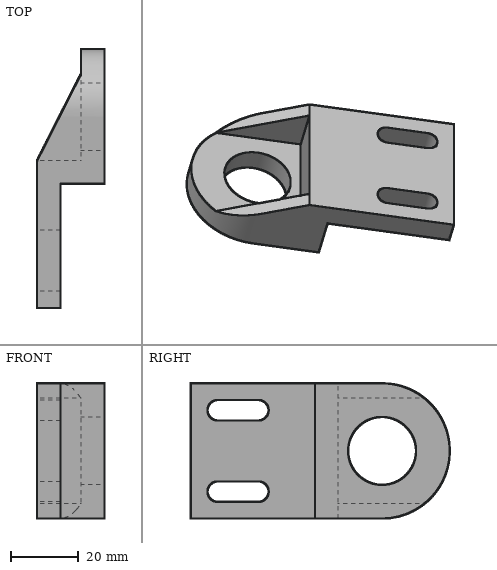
import cadquery as cq

length = 76.5
depth = 20.0
height = 40.0
plate_thickness = 6.95

eye_radius = height / 2
eye_y = length - eye_radius
eye_hole_diameter = 20.0

block_start_y = 36.65
slope_start_y = 43.5
slope_end_y = 69.15
eye_face_x = depth - plate_thickness

pocket_height = 31.1

slot_length = 18.0
slot_width = 6.0
slot_y = 14.0
slot_spacing = 24.0


def offset_body():
    """Stepped plate with a slope leading to the thin eye, extruded along Z."""
    profile = [
        (0, 0),
        (plate_thickness, 0),
        (plate_thickness, block_start_y),
        (depth, block_start_y),
        (depth, length),
        (eye_face_x, length),
        (eye_face_x, slope_end_y),
        (0, slope_start_y),
    ]
    return cq.Workplane("XY").polyline(profile).close().extrude(height / 2, both=True)


def rounded_outline():
    """Full-depth envelope: straight sides ending in a half circle."""
    return (
        cq.Workplane("YZ")
        .moveTo(0, -height / 2)
        .lineTo(eye_y, -height / 2)
        .threePointArc((length, 0), (eye_y, height / 2))
        .lineTo(0, height / 2)
        .close()
        .extrude(depth)
    )


def rib_pocket():
    """Clearance that leaves a sloped rib above and below the eye face."""
    return cq.Workplane("XY").box(
        eye_face_x, length - slope_start_y, pocket_height, centered=(False, False, True)
    ).translate((0, slope_start_y, 0))


def eye_hole():
    return cq.Workplane("YZ").center(eye_y, 0).circle(eye_hole_diameter / 2).extrude(depth)


def mounting_slots():
    """Two parallel slots through the plate."""
    centers = [(slot_y, side * slot_spacing / 2) for side in (-1, 1)]
    return cq.Workplane("YZ").pushPoints(centers).slot2D(slot_length, slot_width).extrude(plate_thickness)


result = (
    offset_body()
    .intersect(rounded_outline())
    .cut(rib_pocket())
    .cut(eye_hole())
    .cut(mounting_slots())
)